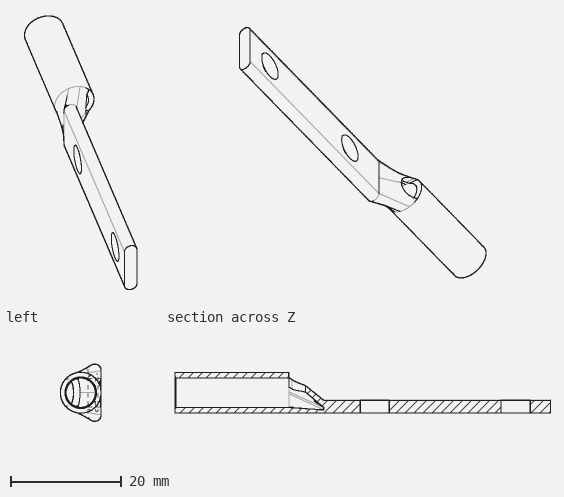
import cadquery as cq

total_length = 67.8
tube_diameter = 7.4
bore_diameter = 5.3
mouth_chamfer = 0.2
tube_length = 20.55
neck_length = 6.3
palm_width = 10.4
palm_thickness = 2.4
bolt_hole_diameter = 5.2
first_hole_x = 36.1
hole_spacing = 25.4
window_radius = 2.45
window_reach = 3.0
slit_width = 6.8
slit_thickness = 0.4
slit_front_wall = 0.6

palm_start = tube_length + neck_length
front_y = -tube_diameter / 2
window_straight = window_reach - window_radius
palm_center_y = front_y + palm_thickness / 2
slit_center_y = front_y + slit_front_wall + slit_thickness / 2


def section(x, y=0.0):
    """Cross-section plane at x, with local X along +Y and local Y along +Z."""
    return cq.Workplane("YZ", origin=(x, y, 0))


def cross_hole(x, diameter, depth):
    """Cylinder along Y starting at the front face."""
    return (
        cq.Workplane("XZ", origin=(x, front_y, 0))
        .circle(diameter / 2)
        .extrude(-depth)
    )


def round_to_flat(diameter, flat_width, flat_thickness, flat_center_y):
    """Neck solid blending a circle into a flat section with rounded ends."""
    return (
        section(tube_length)
        .circle(diameter / 2)
        .workplane(offset=neck_length)
        .center(flat_center_y, 0)
        .slot2D(flat_width, flat_thickness, 90)
        .loft(combine=True, ruled=True)
    )


tube = section(0).circle(tube_diameter / 2).extrude(tube_length)
neck = round_to_flat(tube_diameter, palm_width, palm_thickness, palm_center_y)
palm = (
    section(palm_start, palm_center_y)
    .slot2D(palm_width, palm_thickness, 90)
    .extrude(total_length - palm_start)
)

bore = section(0).circle(bore_diameter / 2).extrude(tube_length)
mouth = cq.Workplane(
    cq.Solid.makeCone(
        bore_diameter / 2 + mouth_chamfer,
        bore_diameter / 2,
        mouth_chamfer,
        dir=cq.Vector(1, 0, 0),
    )
)
cavity = round_to_flat(bore_diameter, slit_width, slit_thickness, slit_center_y)

window = (
    cq.Workplane("XZ", origin=(tube_length, 0, 0))
    .moveTo(0, -window_radius)
    .lineTo(window_straight, -window_radius)
    .threePointArc((window_reach, 0), (window_straight, window_radius))
    .lineTo(0, window_radius)
    .close()
    .extrude(-tube_diameter / 2)
)

result = tube.union(neck).union(palm)
result = result.cut(bore).cut(mouth).cut(cavity).cut(window)

for hole_x in (first_hole_x, first_hole_x + hole_spacing):
    result = result.cut(cross_hole(hole_x, bolt_hole_diameter, palm_thickness))